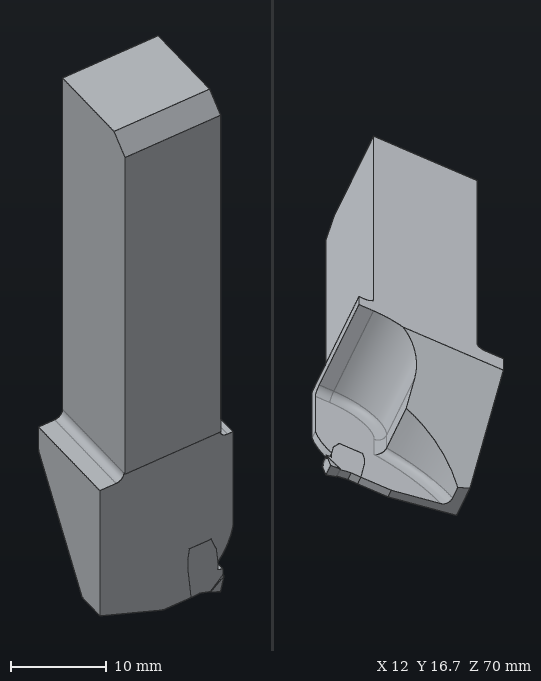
import cadquery as cq
import math


total_length = 70.0
shank_width = 12.0
shank_back = 3.0
end_chamfer = 2.1

head_width = 11.75
head_depth = 16.65
head_top = 21.85
neck_fillet = 1.0
taper_top = 18.5
taper_angle = 60.0
back_bottom = 4.0

blade_thickness = 0.85
blade_face = head_width - blade_thickness
blade_bottom = 0.85
blade_bottom_back = 7.9
front_curve_top = (head_depth, 8.4)
front_curve_middle = (16.0, 6.3)

pocket_top = 19.5
pocket_back = 8.9
pocket_radius = 6.1
pocket_corner = (pocket_back, 9.7)
pocket_curve_middle = (3.5, 6.2)
pocket_curve_end = (-0.1, 0.85)
pocket_fillet = 1.0
pocket_overrun = 2.8

insert_top = 7.9
insert_top_back = 11.2
insert_top_front = 13.9
insert_back = 11.0
back_flat_top = 6.45
back_flat_bottom = 5.25
front_bend_low = (14.55, 6.2)
front_bend_high = (14.2, 7.1)
rake_ledge = 2.95
ledge_inner_height = 3.15
seat_corner = (11.4, blade_bottom)
insert_front_corner = (14.8, 4.2)
tip = (15.0, 0.0)
rake_top = (15.4, 2.1)
heel = (12.5, 0.9)
shoulder_end = (13.8, 0.5)
seat_inside = (13.3, 3.5)
tip_width = 1.25
side_relief_angle = 5.0


def insert_blank():
    """Flat insert plate, as thick as the blade."""
    return (
        cq.Workplane("YZ", origin=(blade_face, 0, 0))
        .moveTo(insert_top_front, insert_top)
        .lineTo(insert_top_back, insert_top)
        .lineTo(insert_back, back_flat_top)
        .lineTo(insert_back, back_flat_bottom)
        .lineTo(*seat_corner)
        .lineTo(*heel)
        .lineTo(*shoulder_end)
        .lineTo(*tip)
        .lineTo(*rake_top)
        .lineTo(rake_top[0], rake_ledge)
        .lineTo(insert_front_corner[0], ledge_inner_height)
        .lineTo(*insert_front_corner)
        .lineTo(*front_bend_low)
        .lineTo(*front_bend_high)
        .close()
        .extrude(blade_thickness)
    )


def insert_tip():
    """Wide cutting tip whose sides narrow away from the rake face."""
    middle_x = blade_face + blade_thickness / 2
    wide_half = tip_width / 2
    relief_length = rake_top[0] - shoulder_end[0]
    narrow_half = wide_half - relief_length * math.tan(math.radians(side_relief_angle))
    profile = (
        cq.Workplane("YZ", origin=(middle_x, 0, 0))
        .polyline([rake_top, shoulder_end, tip])
        .close()
        .extrude(wide_half, both=True)
    )
    relief = (
        cq.Workplane("XY")
        .polyline([
            (middle_x - wide_half, rake_top[0]),
            (middle_x + wide_half, rake_top[0]),
            (middle_x + narrow_half, shoulder_end[0]),
            (middle_x - narrow_half, shoulder_end[0]),
        ])
        .close()
        .extrude(rake_top[1])
    )
    return profile.intersect(relief)


def shank():
    """Square bar with one chamfered end edge."""
    bar = cq.Workplane("XY").box(shank_width, shank_width, total_length - head_top, centered=False)
    bar = bar.translate((0, shank_back, head_top))
    bar = bar.faces(">Z").edges(">X").chamfer(end_chamfer)
    step = (
        cq.Workplane("XY", origin=(head_width, 0, head_top))
        .box(shank_width - head_width, head_depth, neck_fillet, centered=False)
    )
    return bar.cut(step)


def neck_fillets():
    """Concave fillets between the shank sides and the top of the head."""
    shank_front = shank_back + shank_width
    bend = neck_fillet * (1 - math.sqrt(0.5))
    fillets = cq.Workplane("YZ")
    for side_y, outward in ((shank_back, -1), (shank_front, 1)):
        fillets = fillets.add(
            cq.Workplane("YZ")
            .moveTo(side_y, head_top)
            .lineTo(side_y + outward * neck_fillet, head_top)
            .threePointArc((side_y + outward * bend, head_top + bend), (side_y, head_top + neck_fillet))
            .close()
            .extrude(head_width)
        )
    return fillets.combine()


def head_blank():
    """Head outline across the full width, with the open corner that the insert fills."""
    return (
        cq.Workplane("YZ")
        .moveTo(0, head_top)
        .lineTo(head_depth, head_top)
        .lineTo(*front_curve_top)
        .threePointArc(front_curve_middle, insert_front_corner)
        .lineTo(*seat_inside)
        .lineTo(*seat_corner)
        .lineTo(blade_bottom_back, blade_bottom)
        .lineTo(0, back_bottom)
        .close()
        .extrude(head_width)
    )


def head_taper():
    """Wedge removed from the -X side of the head."""
    taper_run = taper_top / math.tan(math.radians(taper_angle))
    return (
        cq.Workplane("XZ")
        .polyline([(0, taper_top), (taper_run, 0), (0, 0)])
        .close()
        .extrude(-head_depth)
    )


def pocket():
    """Clearance beside the blade, rounded where its wall meets the blade."""
    arc_centre_y = pocket_back + pocket_radius
    arc_centre_z = pocket_top - pocket_radius
    bend = pocket_radius * math.sqrt(0.5)
    open_front = head_depth + pocket_overrun
    return (
        cq.Workplane("YZ")
        .moveTo(open_front, pocket_top)
        .lineTo(arc_centre_y, pocket_top)
        .threePointArc((arc_centre_y - bend, arc_centre_z + bend), (pocket_back, arc_centre_z))
        .lineTo(*pocket_corner)
        .threePointArc(pocket_curve_middle, pocket_curve_end)
        .lineTo(pocket_curve_end[0], -pocket_overrun)
        .lineTo(open_front, -pocket_overrun)
        .close()
        .extrude(blade_face)
        .faces(">X")
        .edges()
        .fillet(pocket_fillet)
    )


insert = insert_blank().union(insert_tip())
head = head_blank().cut(head_taper()).cut(pocket())
holder = head.union(shank()).union(neck_fillets()).cut(insert)

result = cq.Compound.makeCompound([holder.val(), insert.val()])